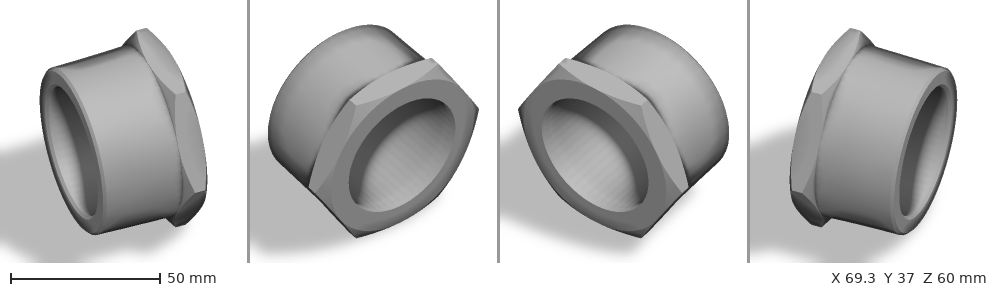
import cadquery as cq
import math

across_corners = 69.3
across_flats = across_corners * math.cos(math.radians(30))
head_thickness = 9.0
head_chamfer_angle = 30.0

shank_length = 28.0
shank_root_radius = 29.8
shank_tip_radius = 29.1

bore_radius = 22.5
tip_chamfer = 1.0

corner_radius = across_corners / 2
flat_radius = across_flats / 2
corner_drop = (corner_radius - flat_radius) * math.tan(math.radians(head_chamfer_angle))


def revolve_profile(points):
    """Revolve (radius, y) points around the Y axis."""
    return cq.Workplane("XY").polyline(points).close().revolve(360, (0, 0, 0), (0, 1, 0))


def make_head():
    """Hexagon from y = 0 to the head thickness, corners chamfered on both faces."""
    hexagon = cq.Workplane("XZ").polygon(6, across_corners).extrude(-head_thickness)
    chamfer_envelope = revolve_profile([
        (0, 0),
        (flat_radius, 0),
        (corner_radius, corner_drop),
        (corner_radius, head_thickness - corner_drop),
        (flat_radius, head_thickness),
        (0, head_thickness),
    ])
    return hexagon.intersect(chamfer_envelope)


def make_shank():
    """Tapered round shank with a chamfered outer tip edge."""
    return revolve_profile([
        (0, 0),
        (shank_root_radius, 0),
        (shank_tip_radius, tip_chamfer - shank_length),
        (shank_tip_radius - tip_chamfer, -shank_length),
        (0, -shank_length),
    ])


def make_bore():
    """Through bore with a chamfered mouth at the shank tip."""
    return revolve_profile([
        (0, -shank_length),
        (bore_radius + tip_chamfer, -shank_length),
        (bore_radius, tip_chamfer - shank_length),
        (bore_radius, head_thickness),
        (0, head_thickness),
    ])


result = make_head().union(make_shank()).cut(make_bore())